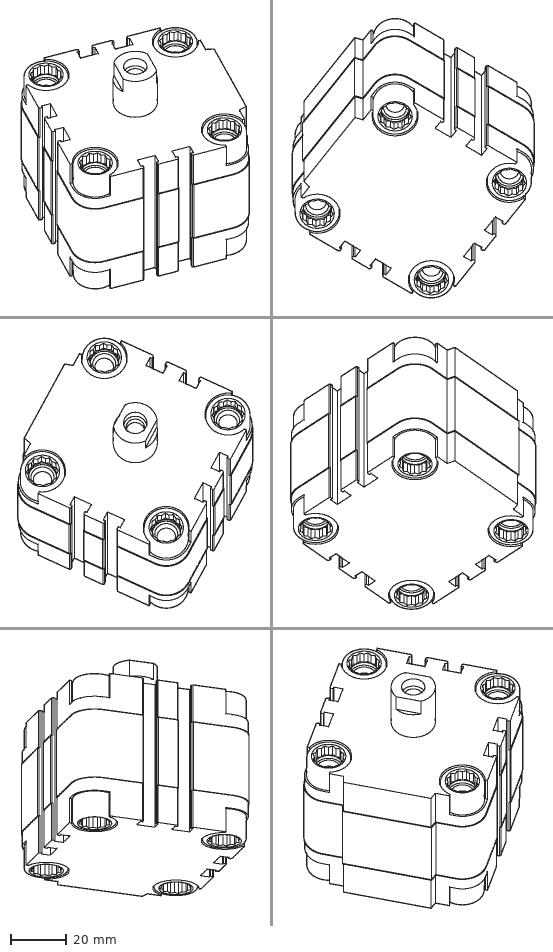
import cadquery as cq
import math

BAND_WIDTH = 68.0
HOUSING_HEIGHT = 55.3
BAND_BOTTOM = 14.45
BAND_TOP = 40.9
END_STEP = 0.3
BAND_HALF = BAND_WIDTH / 2
END_HALF = BAND_HALF - END_STEP

RIDGE_HEIGHT = 3.0
RIDGE_TOP_WIDTH = 33.3
RIDGE_BASE_WIDTH = 35.05

SLOT_OFFSET = 6.7
SLOT_MOUTH = 5.2
SLOT_WIDTH = 6.85
SLOT_DEPTH = 5.05
LIP_THICKNESS = 1.6
LIP_CHAMFER = 0.4
SLOT_FLOOR = BAND_HALF - SLOT_DEPTH
SLOT_SHOULDER = BAND_HALF - LIP_THICKNESS
SLOT_SIDE_ANGLES = (0, 90, -90)

BOSS_PITCH = 50.0
BOSS_AXIS = BOSS_PITCH / 2
BOSS_DIAMETER = 16.0
BOSS_FILLET = 1.0
POCKET_DIAMETER = 16.6
NOTCH_SIZE = 11.3
NOTCH_HEIGHT = 9.4
NOTCH_EDGE = END_HALF - NOTCH_SIZE

SOCKET_ACROSS_FLATS = 10.0
SOCKET_DEPTH = 4.6
SOCKET_MOUTH_DIAMETER = 12.4
SOCKET_MOUTH_DEPTH = 0.6
RELIEF_DIAMETER = 10.2
RELIEF_DEPTH = 6.0
SEAT_DIAMETER = 8.3
SEAT_DEPTH = 2.2
THROUGH_DIAMETER = 6.65

ROD_DIAMETER = 16.0
ROD_TOP = 73.0
ROD_LENGTH = ROD_TOP - HOUSING_HEIGHT
FLAT_LENGTH = 6.3
ACROSS_FLATS = 13.0
ROD_BORE_DIAMETER = 8.4
ROD_BORE_DEPTH = 3.65
ROD_DRILL_DIAMETER = 6.65
ROD_DRILL_DEPTH = 7.3
DRILL_POINT_ANGLE = 118


def revolved(profile):
    """Revolve (radius, height) points about the Z axis."""
    return cq.Workplane("XZ").polyline(profile).close().revolve(360, (0, 0), (0, 1))


def ridge(half, height):
    """Ridge on a +Y face at distance `half` from the axis, rooted inside the body."""
    flank_step = BAND_HALF - half
    top_half = RIDGE_TOP_WIDTH / 2 - flank_step
    base_half = RIDGE_BASE_WIDTH / 2 - flank_step
    crest = half + RIDGE_HEIGHT
    outline = [
        (-base_half, BOSS_AXIS),
        (-base_half, half),
        (-top_half, crest),
        (top_half, crest),
        (base_half, half),
        (base_half, BOSS_AXIS),
    ]
    return cq.Workplane("XY").polyline(outline).close().extrude(height)


def slot_cutter(half, height):
    """T-slot in a -Y face at distance `half` from the axis, with a chamfered mouth."""
    mouth = SLOT_MOUTH / 2
    flared = mouth + LIP_CHAMFER
    right_side = [
        (flared, -half),
        (mouth, -half + LIP_CHAMFER),
        (mouth, -SLOT_SHOULDER),
        (SLOT_WIDTH / 2, -SLOT_SHOULDER),
        (SLOT_WIDTH / 2, -SLOT_FLOOR),
    ]
    left_side = [(-x, y) for x, y in reversed(right_side)]
    return cq.Workplane("XY").polyline(right_side + left_side).close().extrude(height)


def housing_layer(half, bottom, top):
    """One length of the housing: square with corners rounded about the boss axes, ridge, T-slots."""
    height = top - bottom
    layer = (
        cq.Workplane("XY")
        .rect(2 * half, 2 * half)
        .extrude(height)
        .edges("|Z")
        .fillet(half - BOSS_AXIS)
        .union(ridge(half, height))
    )
    for angle in SLOT_SIDE_ANGLES:
        for offset in (-SLOT_OFFSET, SLOT_OFFSET):
            slot = slot_cutter(half, height).translate((offset, 0, 0))
            layer = layer.cut(slot.rotate((0, 0, 0), (0, 0, 1), angle))
    return layer.translate((0, 0, bottom))


def corner_relief():
    """Corner notch and round clearance pocket that leave the +X +Y boss standing."""
    notch_floor = HOUSING_HEIGHT - NOTCH_HEIGHT
    notch_centre = NOTCH_EDGE + NOTCH_SIZE
    notch = (
        cq.Workplane("XY", origin=(notch_centre, notch_centre, notch_floor))
        .rect(2 * NOTCH_SIZE, 2 * NOTCH_SIZE)
        .extrude(NOTCH_HEIGHT)
    )
    boss_base = cq.Workplane("XY", origin=(BOSS_AXIS, BOSS_AXIS, notch_floor))
    pocket = boss_base.circle(POCKET_DIAMETER / 2).extrude(NOTCH_HEIGHT)
    boss = (
        boss_base
        .circle(BOSS_DIAMETER / 2)
        .extrude(NOTCH_HEIGHT)
        .faces(">Z")
        .edges()
        .fillet(BOSS_FILLET)
    )
    return notch.union(pocket).cut(boss)


def socket_cutter():
    """Double-hex socket at the top of the +X +Y boss, with its bore down to mid height."""
    relief_floor = -RELIEF_DEPTH
    seat_bottom = relief_floor - SEAT_DEPTH
    middle = -HOUSING_HEIGHT / 2
    cutter = revolved([
        (0, 0),
        (SOCKET_MOUTH_DIAMETER / 2, 0),
        (SOCKET_ACROSS_FLATS / 2, -SOCKET_MOUTH_DEPTH),
        (SOCKET_ACROSS_FLATS / 2, -SOCKET_DEPTH),
        (RELIEF_DIAMETER / 2, -SOCKET_DEPTH),
        (RELIEF_DIAMETER / 2, relief_floor),
        (SEAT_DIAMETER / 2, relief_floor),
        (THROUGH_DIAMETER / 2, seat_bottom),
        (THROUGH_DIAMETER / 2, middle),
        (0, middle),
    ])
    across_corners = SOCKET_ACROSS_FLATS / math.cos(math.pi / 6)
    hexagon = (
        cq.Workplane("XY", origin=(0, 0, -SOCKET_DEPTH))
        .polygon(6, across_corners)
        .extrude(SOCKET_DEPTH - SOCKET_MOUTH_DEPTH / 2)
    )
    for angle in (0, 30):
        cutter = cutter.union(hexagon.rotate((0, 0, 0), (0, 0, 1), angle))
    return cutter.translate((BOSS_AXIS, BOSS_AXIS, HOUSING_HEIGHT))


def make_housing():
    housing = (
        housing_layer(END_HALF, 0, BAND_BOTTOM)
        .union(housing_layer(BAND_HALF, BAND_BOTTOM, BAND_TOP))
        .union(housing_layer(END_HALF, BAND_TOP, HOUSING_HEIGHT))
    )
    top_relief = corner_relief()
    top_socket = socket_cutter()
    mid_height = (0, 0, HOUSING_HEIGHT / 2)
    for top_cutter in (top_relief, top_socket):
        for cutter in (top_cutter, top_cutter.mirror("XY", mid_height)):
            for angle in (0, 90, 180, 270):
                housing = housing.cut(cutter.rotate((0, 0, 0), (0, 0, 1), angle))
    return housing


def make_rod():
    rod = cq.Workplane("XY", origin=(0, 0, HOUSING_HEIGHT)).circle(ROD_DIAMETER / 2).extrude(ROD_LENGTH)
    wrench_envelope = (
        cq.Workplane("XY", origin=(0, 0, ROD_TOP - FLAT_LENGTH))
        .rect(2 * ROD_DIAMETER, ACROSS_FLATS)
        .extrude(FLAT_LENGTH)
    )
    wrench_blank = (
        cq.Workplane("XY", origin=(0, 0, ROD_TOP - FLAT_LENGTH))
        .rect(2 * ROD_DIAMETER, 2 * ROD_DIAMETER)
        .extrude(FLAT_LENGTH)
    )
    drill_radius = ROD_DRILL_DIAMETER / 2
    point_slope = math.tan(math.radians(DRILL_POINT_ANGLE / 2))
    point_length = drill_radius / point_slope
    shoulder_length = (ROD_BORE_DIAMETER / 2 - drill_radius) / point_slope
    bore = revolved([
        (0, ROD_TOP),
        (ROD_BORE_DIAMETER / 2, ROD_TOP),
        (ROD_BORE_DIAMETER / 2, ROD_TOP - ROD_BORE_DEPTH),
        (drill_radius, ROD_TOP - ROD_BORE_DEPTH - shoulder_length),
        (drill_radius, ROD_TOP - ROD_DRILL_DEPTH),
        (0, ROD_TOP - ROD_DRILL_DEPTH - point_length),
    ])
    return rod.cut(wrench_blank.cut(wrench_envelope)).cut(bore)


housing = make_housing()
rod = make_rod()

result = cq.Compound.makeCompound([housing.val(), rod.val()])